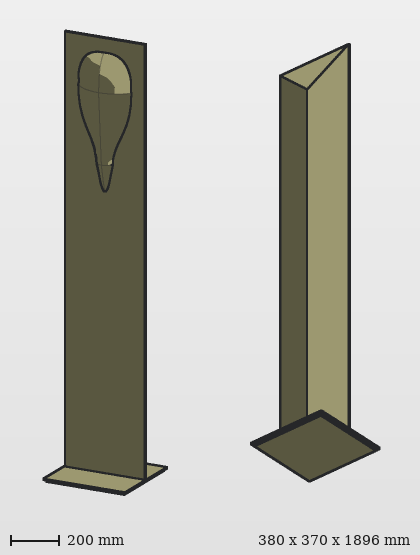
import cadquery as cq

total_height = 1896.0

base_width = 380.0
base_depth = 370.0
foot_inset = 10.5
foot_height = 10.0
flange_height = 5.0
base_height = foot_height + flange_height

panel_width = 370.0
plate_front = -4.0
plate_back = 5.0
rib_back = 51.0
rib_top = 1730.0

bulb_top = 1833.0
bulb_middle = 1676.0
bulb_half_width = 123.0
bulb_depth = 55.0
dome_width_power = 2.7
dome_depth_power = 2.0
dome_levels = [0, 0.3, 0.55, 0.75, 0.88, 0.96, 0.99, 0.998]

middle_section = (bulb_middle, bulb_half_width, bulb_depth)
neck_section = (1355.0, 38.0, 30.0)
body_sections = [
    middle_section,
    (1589.0, 115.0, 50.0),
    (1515.0, 93.0, 44.0),
    (1445.0, 60.0, 38.0),
    neck_section,
]
tail_sections = [
    neck_section,
    (1320.0, 30.0, 23.0),
    (1282.0, 23.0, 14.2),
    (1250.0, 14.2, 5.0),
    (1232.0, 4.0, 1.0),
]


def make_base():
    """Flange with an inset foot below."""
    foot_width = base_width - 2 * foot_inset
    foot_depth = base_depth - 2 * foot_inset
    foot = cq.Workplane("XY").rect(foot_width, foot_depth).extrude(foot_height)
    flange = (
        cq.Workplane("XY")
        .workplane(offset=foot_height)
        .rect(base_width, base_depth)
        .extrude(flange_height)
    )
    return foot.union(flange)


def make_panel():
    """Plate and triangular rib, with the rib top sloping down to the rear."""
    half_width = panel_width / 2
    column = (
        cq.Workplane("XY")
        .workplane(offset=base_height)
        .moveTo(-half_width, plate_front)
        .lineTo(half_width, plate_front)
        .lineTo(half_width, plate_back)
        .lineTo(0, rib_back)
        .lineTo(-half_width, plate_back)
        .close()
        .extrude(total_height - base_height)
    )
    slope_cut = (
        cq.Workplane("YZ")
        .moveTo(plate_back, total_height)
        .lineTo(rib_back, total_height)
        .lineTo(rib_back, rib_top)
        .close()
        .extrude(half_width, both=True)
    )
    return column.cut(slope_cut)


def bulb_section(height, half_width, depth):
    """Segment of a circle on the panel face, its arc split at the center line."""
    radius = (half_width**2 + depth**2) / (2 * depth)
    center_y = plate_front - depth + radius
    quarter_x = half_width / 2
    quarter_y = center_y - (radius**2 - quarter_x**2) ** 0.5
    left = cq.Vector(-half_width, plate_front, height)
    right = cq.Vector(half_width, plate_front, height)
    crown = cq.Vector(0, plate_front - depth, height)
    return cq.Wire.assembleEdges([
        cq.Edge.makeThreePointArc(left, cq.Vector(-quarter_x, quarter_y, height), crown),
        cq.Edge.makeThreePointArc(crown, cq.Vector(quarter_x, quarter_y, height), right),
        cq.Edge.makeLine(right, left),
    ])


def dome_section(level):
    """Height, half width and depth at a fraction of the dome height."""
    height = bulb_middle + level * (bulb_top - bulb_middle)
    half_width = bulb_half_width * (1 - level**dome_width_power) ** (1 / dome_width_power)
    depth = bulb_depth * (1 - level**dome_depth_power) ** (1 / dome_depth_power)
    return height, half_width, depth


def loft_sections(sections):
    wires = [bulb_section(*section) for section in sections]
    return cq.Workplane(cq.Solid.makeLoft(wires))


def make_bulb():
    """Dome, tapering body and tail joined end to end."""
    dome = loft_sections([dome_section(level) for level in dome_levels])
    body = loft_sections(body_sections)
    tail = loft_sections(tail_sections)
    return dome.union(body).union(tail)


base = make_base()
panel = make_panel()
bulb = make_bulb()

result = cq.Compound.makeCompound([base.solids().val(), panel.solids().val(), bulb.solids().val()])